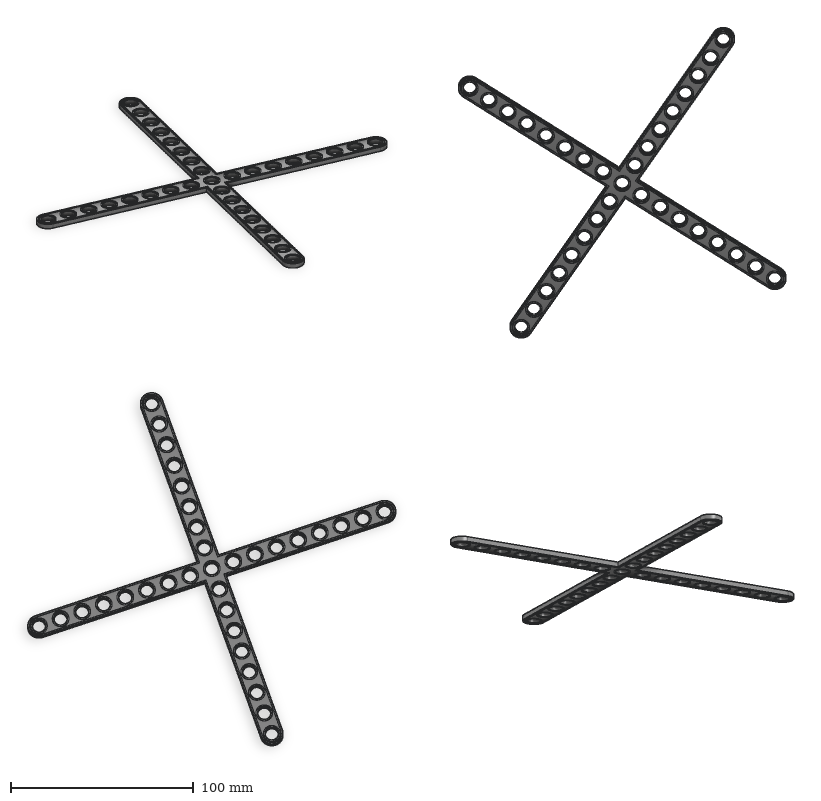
import cadquery as cq

SPAN = 212.5
HOLES_PER_BAR = 17
THICKNESS = 3.2
HOLE_DIAMETER = 7.0
RIM_WIDTH = 1.0
RECESS_DEPTH = 0.25
EDGE_CHAMFER = 0.32

PITCH = SPAN / HOLES_PER_BAR
BAR_WIDTH = PITCH
RIM_DIAMETER = HOLE_DIAMETER + 2 * RIM_WIDTH
HALF_THICKNESS = THICKNESS / 2


def hole_centres():
    """Evenly pitched points along both bars, with the shared centre listed once."""
    holes_per_arm = HOLES_PER_BAR // 2
    centres = [(0, 0)]
    for step in range(1, holes_per_arm + 1):
        offset = step * PITCH
        centres += [(offset, 0), (-offset, 0), (0, offset), (0, -offset)]
    return centres


def cross(inset, bottom, height):
    """Plus-shaped prism of two round-ended bars, its outline moved inwards by inset."""
    length = SPAN - 2 * inset
    width = BAR_WIDTH - 2 * inset
    plane = cq.Workplane("XY").workplane(offset=bottom)
    bar_x = plane.slot2D(length, width).extrude(height)
    bar_y = plane.slot2D(length, width, 90).extrude(height)
    return bar_x.union(bar_y)


def discs(diameter, bottom, height):
    """One cylinder at every hole centre."""
    plane = cq.Workplane("XY").workplane(offset=bottom)
    return plane.pushPoints(hole_centres()).circle(diameter / 2).extrude(height)


def recess(bottom):
    """Shallow pocket inside the outline rim, leaving a ring around every hole."""
    floor = cross(RIM_WIDTH, bottom, RECESS_DEPTH)
    return floor.cut(discs(RIM_DIAMETER, bottom, RECESS_DEPTH))


plate = cross(0, -HALF_THICKNESS, THICKNESS)
plate = plate.cut(discs(HOLE_DIAMETER, -HALF_THICKNESS, THICKNESS))

plate = plate.faces("|Z").edges().chamfer(EDGE_CHAMFER)

for recess_bottom in (HALF_THICKNESS - RECESS_DEPTH, -HALF_THICKNESS):
    plate = plate.cut(recess(recess_bottom))

result = plate